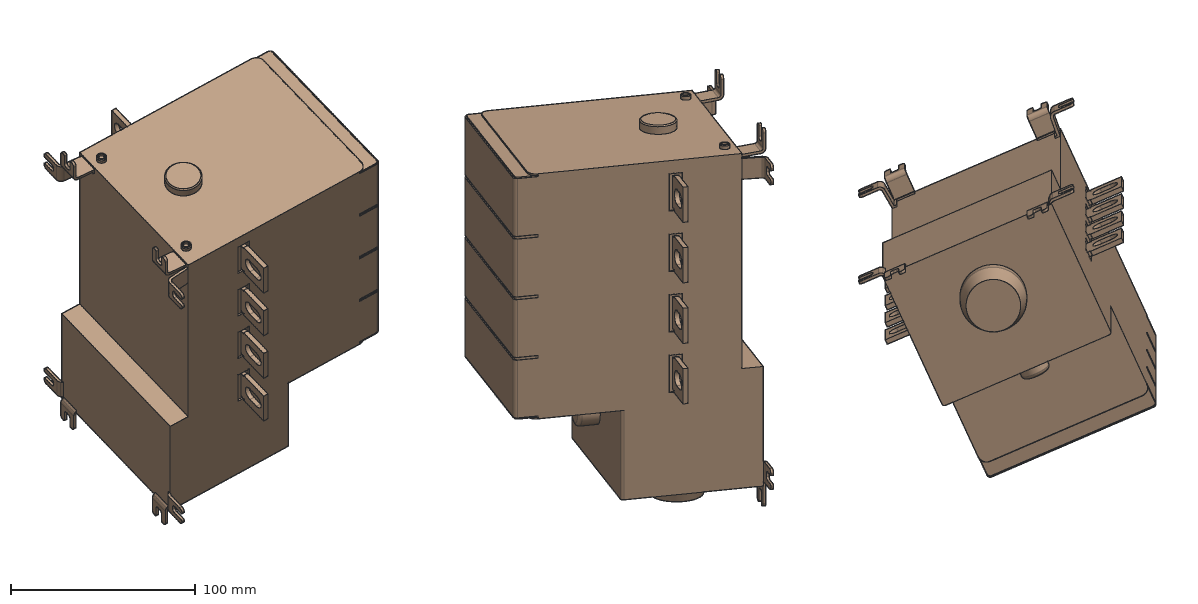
import cadquery as cq
import math


body_width = 100.0
half_width = body_width / 2
depth = 142.0
front_y = 14.0
pole_pitch = 35.0
pole_count = 4
stack_height = pole_pitch * pole_count
corner_radius = 2.0

plate_thickness = 0.9
plate_back_y = 133.3
plate_corner_radius = 5.0

cap_front_y = 128.5
groove_width = 1.5
groove_side_depth = 0.3
groove_back_depth = 0.8

drive_bottom_z = -52.7
drive_back_y = 81.8
drive_corner_radius = 1.6
foot_front_y = 2.0
foot_top_z = 16.5

terminal_y = 51.3
bar_tip_x = 70.0
bar_embed = 1.0
bar_thickness = 2.8
bar_height = 20.4
neck_height = 18.6
neck_end_x = 51.6
bar_hole_x = 60.3
bar_hole_length = 14.5
bar_hole_width = 8.6
window_y = 51.1
window_depth = 1.0
window_width = 7.4
window_height = 21.5

knob_y = 47.0
knob_diameter = 20.3
knob_top_z = 146.0
knob_chamfer = 0.7
screw_x = 39.0
screw_y = 20.6
screw_diameter = 5.6
screw_top_z = 143.4
screw_chamfer = 0.5
socket_diameter = 3.4
socket_depth = 1.5
button_z = -18.5
button_diameter = 16.2
button_end_y = 94.0
button_fillet = 2.0
handle_y = 36.7
handle_diameter = 36.2
handle_tip_diameter = 29.5
handle_cone_z = -58.3
handle_tip_z = -71.0

sheet = 1.6
tab_width = 12.0
fork_width = 4.9
fork_depth = 8.5
fork_corner_radius = 1.5
prong_outer_radius = 2.0
prong_inner_radius = 0.8
leg_overrun = 1.0
flange_thickness = 1.0
flange_reach = 1.3
upper_leg_angle = 5.0
upper_bend_radius = 3.2
lower_leg_angle = 45.0
upper_root = 14.8
side_root = 15.4
lower_root = 15.2
lower_bend_radius = 2.9
bracket_x = 42.2
side_tip_x = 63.5
upper_tip_z = 152.8
upper_side_z = 131.8
lower_side_z = -44.5
lower_tip_z = -65.6


def box(x_range, y_range, z_range):
    """Box spanning the given (low, high) ranges."""
    corner = (x_range[0], y_range[0], z_range[0])
    size = [high - low for low, high in (x_range, y_range, z_range)]
    return cq.Workplane("XY").box(*size, centered=False).translate(corner)


def width_block(y_range, z_range):
    """Block as wide as the housing."""
    return box((-half_width, half_width), y_range, z_range)


def rounded_block(y_range, z_range, radius):
    """Block as wide as the housing with its two back vertical edges rounded."""
    return width_block(y_range, z_range).edges("|Z and >Y").fillet(radius)


def cap_groove(z_middle):
    """Groove around the sides and back of the caps, centred on a parting plane."""
    z_range = (z_middle - groove_width / 2, z_middle + groove_width / 2)
    band = width_block((cap_front_y, depth), z_range)
    core_half = half_width - groove_side_depth
    core = box((-core_half, core_half), (cap_front_y, depth - groove_back_depth), z_range)
    return band.cut(core.edges("|Z and >Y").fillet(corner_radius))


def make_housing():
    stack = rounded_block((front_y, depth), (0, stack_height), corner_radius)
    for joint in range(pole_count + 1):
        stack = stack.cut(cap_groove(joint * pole_pitch))
    drive = rounded_block((front_y, drive_back_y), (drive_bottom_z, 0), drive_corner_radius)
    foot = width_block((foot_front_y, front_y), (drive_bottom_z, foot_top_z))
    housing = stack.union(drive).union(foot)
    for bottom_z in (-plate_thickness, stack_height):
        z_range = (bottom_z, bottom_z + plate_thickness)
        housing = housing.union(rounded_block((front_y, plate_back_y), z_range, plate_corner_radius))
    return housing


def terminal_window(z):
    """Pair of shallow side recesses around one pole's bars."""
    cut = cq.Workplane("XY").box(body_width, window_width, window_height)
    core_width = body_width - 2 * window_depth
    cut = cut.cut(cq.Workplane("XY").box(core_width, window_width, window_height))
    return cut.translate((0, window_y, z))


def terminal_bars(z):
    """Left and right bars of one pole, with narrower necks and obround holes."""
    root_x = half_width - window_depth - bar_embed
    bars = cq.Workplane("XY")
    for side in (-1, 1):
        neck = cq.Workplane("XY").box(neck_end_x - root_x, bar_thickness, neck_height)
        neck = neck.translate((side * (neck_end_x + root_x) / 2, 0, 0))
        blade = cq.Workplane("XY").box(bar_tip_x - neck_end_x, bar_thickness, bar_height)
        blade = blade.translate((side * (bar_tip_x + neck_end_x) / 2, 0, 0))
        hole = cq.Workplane("XZ").center(side * bar_hole_x, 0).slot2D(bar_hole_length, bar_hole_width)
        blade = blade.cut(hole.extrude(bar_thickness, both=True))
        bars = bars.add(neck.union(blade))
    return bars.combine().translate((0, terminal_y, z))


def make_knob():
    knob = cq.Workplane("XY", origin=(0, knob_y, stack_height)).circle(knob_diameter / 2)
    return knob.extrude(knob_top_z - stack_height).faces(">Z").chamfer(knob_chamfer)


def make_screw(side):
    screw = cq.Workplane("XY", origin=(side * screw_x, screw_y, stack_height)).circle(screw_diameter / 2)
    screw = screw.extrude(screw_top_z - stack_height).faces(">Z").chamfer(screw_chamfer)
    return screw.faces(">Z").workplane().hole(socket_diameter, socket_depth)


def make_button():
    button = cq.Workplane("XZ", origin=(0, button_end_y, button_z)).circle(button_diameter / 2)
    return button.extrude(button_end_y - drive_back_y).faces(">Y").fillet(button_fillet)


def make_handle():
    """Straight collar and tapered grip, turned about a vertical axis."""
    outline = cq.Workplane("XZ", origin=(0, handle_y, 0)).moveTo(0, drive_bottom_z)
    outline = outline.lineTo(handle_diameter / 2, drive_bottom_z).lineTo(handle_diameter / 2, handle_cone_z)
    outline = outline.lineTo(handle_tip_diameter / 2, handle_tip_z).lineTo(0, handle_tip_z).close()
    return outline.revolve(360, (0, 0, 0), (0, 1, 0))


def bracket(root, standoff, leg_angle, bend_radius):
    """Forked bracket with its tip at Z = 0 and its tab pointing up.

    root: distance from the tip down to the underside of the leg where it leaves the housing
    standoff: distance from the mounting plane back to the housing face
    leg_angle: outward lean of the leg, in degrees
    bend_radius: outer radius of the bend between tab and leg
    """
    slope = math.tan(math.radians(leg_angle))
    leg_rise = sheet / math.cos(math.radians(leg_angle))
    rear_y = standoff + leg_overrun
    under_front = -root + standoff * slope
    under_rear = -root - leg_overrun * slope
    inner_corner = under_front - sheet * slope + leg_rise
    profile = [
        (0, 0),
        (0, under_front),
        (rear_y, under_rear),
        (rear_y, under_rear + leg_rise),
        (sheet, inner_corner),
        (sheet, 0),
    ]
    blank = cq.Workplane("YZ").polyline(profile).close().extrude(tab_width / 2, both=True)
    outer_bend = cq.selectors.NearestToPointSelector((0, 0, under_front))
    inner_bend = cq.selectors.NearestToPointSelector((0, sheet, inner_corner))
    blank = blank.edges(outer_bend).fillet(bend_radius)
    blank = blank.edges(inner_bend).fillet(bend_radius - sheet)
    across = (-tab_width / 2, tab_width / 2)
    blank = blank.intersect(box(across, (0, standoff), (under_rear, 0)))
    return cut_fork(blank)


def cut_fork(blank):
    """Round the tab's outer corners and open the slot at its tip."""
    blank = blank.faces(">Z").edges("|Y").fillet(prong_outer_radius)
    slot = box((-fork_width / 2, fork_width / 2), (0, sheet), (-fork_depth, 0))
    tab = blank.cut(slot.edges("|Y and <Z").fillet(fork_corner_radius))
    mouth_x = fork_width / 2 + prong_inner_radius / 2
    mouth_z = prong_inner_radius / 2
    mouth = cq.selectors.BoxSelector((-mouth_x, 0, -mouth_z), (mouth_x, sheet, mouth_z))
    return tab.edges("|Y").edges(mouth).fillet(prong_inner_radius)


def upper_bracket(root):
    """Long-legged bracket with a narrow flange against the housing front."""
    flange_y = (front_y - flange_thickness, front_y)
    flange_z = (-root - flange_reach, -root + sheet / 2)
    flange = box((-tab_width / 2, tab_width / 2), flange_y, flange_z)
    return bracket(root, front_y, upper_leg_angle, upper_bend_radius).union(flange)


def aim(part, angle, x, z):
    """Turn a bracket about its tip in the mounting plane and put the middle of its tip at (x, z)."""
    return part.rotate((0, 0, 0), (0, 1, 0), angle).translate((x, 0, z))


result = make_housing()
for pole in range(pole_count):
    pole_z = (pole + 0.5) * pole_pitch
    result = result.cut(terminal_window(pole_z)).union(terminal_bars(pole_z))
result = result.union(make_knob()).union(make_button()).union(make_handle())
upper = upper_bracket(upper_root)
upper_side = upper_bracket(side_root)
lower = bracket(lower_root, foot_front_y, lower_leg_angle, lower_bend_radius)
for side in (-1, 1):
    result = result.union(make_screw(side))
    result = result.union(aim(upper, 0, side * bracket_x, upper_tip_z))
    result = result.union(aim(upper_side, side * 90, side * side_tip_x, upper_side_z))
    result = result.union(aim(lower, 180, side * bracket_x, lower_tip_z))
    result = result.union(aim(lower, side * 90, side * side_tip_x, lower_side_z))